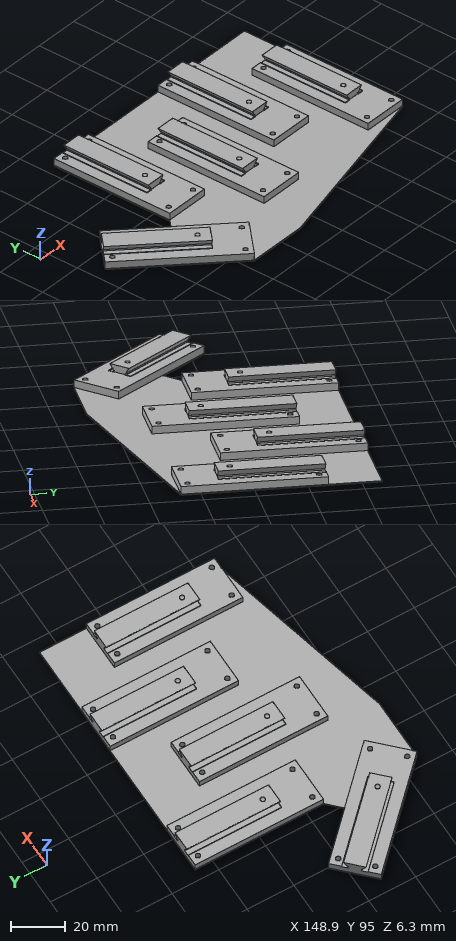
import cadquery as cq
import math

total_length = 148.9
total_depth = 95.0

plate_thickness = 0.5
front_edge_length = 26.4

mount_width = 20.0
mount_length = 55.0
base_thickness = 3.0
rail_length = 40.0
rail_rise = 2.8
rail_top_width = 8.5
neck_width = 5.0
neck_rise = 0.3
recess_width = 10.0
recess_depth = 0.3

hole_diameter = 2.0
hole_inset = 3.0
dimple_inset = 5.0

upright_count = 4
tilt_angle = 45.0
tilt = math.radians(tilt_angle)
plate_width = total_length - mount_length * math.sin(tilt)
mount_pitch = (plate_width - mount_width) / (upright_count - 1)
stagger = (total_depth - mount_length) / 2


def make_plate():
    """Flat plate with its back left corner at the origin and an arm under the tilted mount."""
    arm_end_x = -mount_length * math.sin(tilt)
    arm_end_y = -total_depth + mount_length * math.cos(tilt)
    arm_back_x = arm_end_x + mount_width * math.cos(tilt)
    arm_back_y = arm_end_y + mount_width * math.sin(tilt)
    notch_length = arm_back_x * math.sin(tilt) + (arm_back_y + mount_length) * math.cos(tilt)
    notch_x = notch_length * math.sin(tilt)
    notch_y = -mount_length + notch_length * math.cos(tilt)
    outline = [
        (0, 0),
        (plate_width, 0),
        (plate_width, -stagger - mount_length),
        (front_edge_length, -total_depth),
        (0, -total_depth),
        (arm_end_x, arm_end_y),
        (arm_back_x, arm_back_y),
        (notch_x, notch_y),
        (0, -mount_length),
    ]
    return cq.Workplane("XY").polyline(outline).close().extrude(plate_thickness)


def make_base():
    """Base block with its front left bottom corner at the origin and a recess open at the back."""
    block = cq.Workplane("XY").box(mount_width, mount_length, base_thickness, centered=False)
    recess = (
        cq.Workplane("XY")
        .box(recess_width, rail_length, recess_depth, centered=False)
        .translate((
            (mount_width - recess_width) / 2,
            mount_length - rail_length,
            base_thickness - recess_depth,
        ))
    )
    return block.cut(recess)


def make_rail():
    """Dovetail rail from the recess floor up: a straight neck, then sides that flare to the top."""
    recess_floor = base_thickness - recess_depth
    neck_top = base_thickness + neck_rise
    rail_top = base_thickness + rail_rise
    profile = [
        (-neck_width / 2, recess_floor),
        (neck_width / 2, recess_floor),
        (neck_width / 2, neck_top),
        (rail_top_width / 2, rail_top),
        (-rail_top_width / 2, rail_top),
        (-neck_width / 2, neck_top),
    ]
    rail = cq.Workplane("XZ").polyline(profile).close().extrude(rail_length)
    return rail.translate((mount_width / 2, mount_length, 0))


def make_mount():
    """Rail mount: base and rail in one piece, four corner holes and a round dimple in the rail."""
    corners = [
        (x, y)
        for x in (hole_inset, mount_width - hole_inset)
        for y in (hole_inset, mount_length - hole_inset)
    ]
    holes = cq.Workplane("XY").pushPoints(corners).circle(hole_diameter / 2).extrude(base_thickness)
    dimple = (
        cq.Workplane("XY")
        .sphere(hole_diameter / 2)
        .translate((
            mount_width / 2,
            mount_length - rail_length + dimple_inset,
            base_thickness + rail_rise,
        ))
    )
    return make_base().union(make_rail()).cut(holes).cut(dimple)


plate = make_plate()

mounts = []
for index in range(upright_count):
    drop = stagger * (index % 2)
    place = (index * mount_pitch, -mount_length - drop, plate_thickness)
    mounts.append(make_mount().translate(place))

tilted_mount = (
    make_mount()
    .rotate((0, 0, 0), (0, 0, 1), tilt_angle)
    .translate((0, -total_depth, plate_thickness))
)
mounts.append(tilted_mount)

result = cq.Compound.makeCompound([plate.val(), *[mount.val() for mount in mounts]])